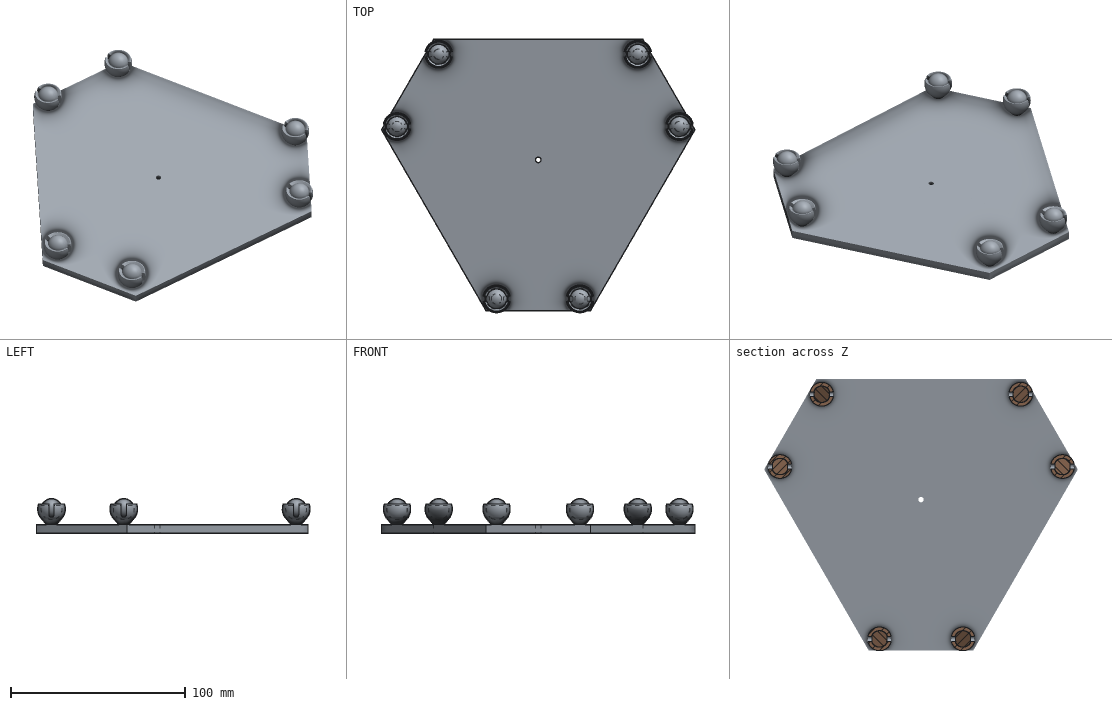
import cadquery as cq
import math

plate_width = 180.0
plate_thickness = 5.0
short_side = plate_width / 3
long_side = plate_width - short_side
hole_diameter = 3.0

overall_height = 20.0
ball_diameter = 12.0
ball_center_z = overall_height - ball_diameter / 2
pair_half_spacing = 24.0
joint_inset = 6.8

socket_diameter = 16.0
socket_radius = socket_diameter / 2
rim_rise = 3.0
rim_z = ball_center_z + rim_rise
neck_diameter = 6.0
neck_top_drop = 5.0
flare_radius = 7.0
flare_depth = 5.0
slot_width = 3.0
slot_drop = 3.0

full_triangle_side = long_side + 2 * short_side
long_side_distance = full_triangle_side / (2 * math.sqrt(3))
plate_depth = plate_width * math.sqrt(3) / 2
short_side_distance = plate_depth - long_side_distance


def make_plate():
    """Six-sided plate with a central through hole."""
    shoulder_y = long_side_distance - short_side * math.sqrt(3) / 2
    outline = [
        (-long_side / 2, long_side_distance),
        (long_side / 2, long_side_distance),
        (plate_width / 2, shoulder_y),
        (short_side / 2, -short_side_distance),
        (-short_side / 2, -short_side_distance),
        (-plate_width / 2, shoulder_y),
    ]
    plate = cq.Workplane("XY").polyline(outline).close().extrude(plate_thickness)
    return plate.faces(">Z").workplane(origin=(0, 0, 0)).hole(hole_diameter)


def joint_positions():
    """Joint axes: the pair at the -Y side, repeated at every 120 degrees."""
    pair_y = -(short_side_distance - joint_inset)
    positions = []
    for turn in (0, 120, 240):
        cosine = math.cos(math.radians(turn))
        sine = math.sin(math.radians(turn))
        for x in (-pair_half_spacing, pair_half_spacing):
            positions.append((x * cosine - pair_y * sine, x * sine + pair_y * cosine))
    return positions


def make_socket_blank():
    """Conical neck and truncated sphere, solid, standing on the plate."""
    rim_radius = math.sqrt(socket_radius**2 - rim_rise**2)
    neck_top_z = ball_center_z - neck_top_drop
    neck_top_radius = math.sqrt(socket_radius**2 - neck_top_drop**2)
    return (
        cq.Workplane("XZ")
        .moveTo(0, plate_thickness)
        .lineTo(neck_diameter / 2, plate_thickness)
        .lineTo(neck_top_radius, neck_top_z)
        .threePointArc((socket_radius, ball_center_z), (rim_radius, rim_z))
        .lineTo(0, rim_z)
        .close()
        .revolve(360, (0, 0, 0), (0, 1, 0))
    )


def make_slot_cutter():
    """Slot along X through both socket walls, open at the top and round at the bottom."""
    slot_end_z = ball_center_z - slot_drop
    half_width = slot_width / 2
    slot_cutter_reach = 2 * socket_radius
    return (
        cq.Workplane("YZ")
        .moveTo(-half_width, overall_height)
        .lineTo(-half_width, slot_end_z)
        .threePointArc((0, slot_end_z - half_width), (half_width, slot_end_z))
        .lineTo(half_width, overall_height)
        .close()
        .extrude(slot_cutter_reach, both=True)
    )


def make_flare_cutter():
    """Upside-down cone that opens the socket mouth out towards the rim."""
    return (
        cq.Workplane("XZ")
        .moveTo(0, rim_z - flare_depth)
        .lineTo(flare_radius, rim_z)
        .lineTo(0, rim_z)
        .close()
        .revolve(360, (0, 0, 0), (0, 1, 0))
    )


def make_ball():
    """Ball on the Z axis, at its working height."""
    return cq.Workplane("XY").sphere(ball_diameter / 2).translate((0, 0, ball_center_z))


def make_socket():
    """Slotted socket that fits the ball and holds it above its widest part."""
    return make_socket_blank().cut(make_ball()).cut(make_flare_cutter()).cut(make_slot_cutter())


base = make_plate()
socket = make_socket()
for x, y in joint_positions():
    base = base.union(socket.translate((x, y, 0)))

ball = make_ball()
balls = [ball.translate((x, y, 0)).val() for x, y in joint_positions()]

result = cq.Compound.makeCompound([base.solids().val(), *balls])